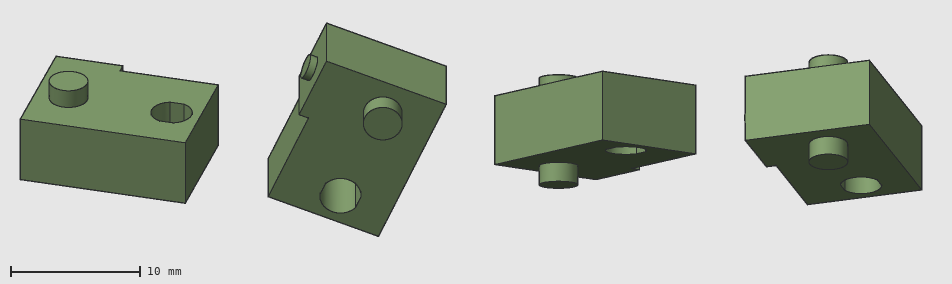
import cadquery as cq

length = 13.3
step_length = 5.39
depth = 9.31
step_height = 0.8
height = 5.43

pin_diameter = 3.0
pin_projection = 1.49
pin_x = step_length / 2
axis_y = 4.2

hole_diameter = 3.2
hole_width_across_flats = 3.0
hole_x = 11.0

stub_diameter = 1.94
stub_projection = 0.6

step_y = depth + step_height


def make_block():
    main = cq.Workplane("XY").box(length, depth, height, centered=(False, False, True))
    step = cq.Workplane("XY").box(step_length, step_y, height, centered=(False, False, True))
    return main.union(step).clean()


def make_pin():
    pin_length = height + 2 * pin_projection
    return cq.Workplane("XY").center(pin_x, axis_y).circle(pin_diameter / 2).extrude(pin_length / 2, both=True)


def make_flatted_hole():
    hole = cq.Workplane("XY").circle(hole_diameter / 2).extrude(height, both=True)
    flats = cq.Workplane("XY").box(hole_diameter, hole_width_across_flats, 2 * height)
    return hole.intersect(flats).translate((hole_x, axis_y, 0))


def make_stub():
    stub_length = step_y + stub_projection - axis_y
    base = cq.Workplane("XZ", origin=(pin_x, axis_y, 0))
    return base.circle(stub_diameter / 2).extrude(-stub_length)


result = make_block().union(make_pin()).union(make_stub()).cut(make_flatted_hole())